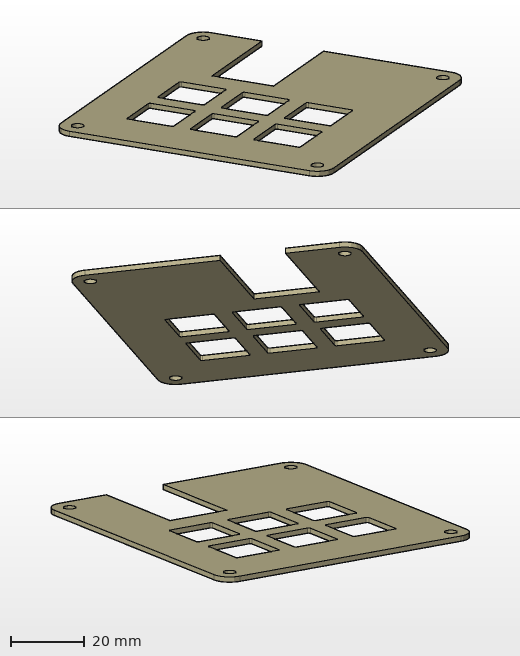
import cadquery as cq

plate_width = 82.09
plate_depth = 87.72
plate_thickness = 1.5
corner_radius = 5.0

screw_hole_diameter = 3.4
screw_inset = corner_radius

key_columns = 3
key_rows = 2
key_pitch = 19.05
key_window_size = 14.0
key_window_corner_radius = 0.5
key_grid_center_x = -0.5
key_grid_center_y = -11.6

notch_width = 18.5
notch_depth = 31.0
notch_left_inset = 20.3


def make_plate():
    """Flat plate with rounded corners, centred in X and Y and resting on Z = 0."""
    plate = cq.Workplane("XY").box(
        plate_width, plate_depth, plate_thickness, centered=(True, True, False)
    )
    return plate.edges("|Z").fillet(corner_radius)


def make_screw_holes():
    """Cutters for one through hole in each plate corner."""
    return (
        cq.Workplane("XY")
        .rect(plate_width - 2 * screw_inset, plate_depth - 2 * screw_inset, forConstruction=True)
        .vertices()
        .circle(screw_hole_diameter / 2)
        .extrude(plate_thickness)
    )


def make_key_windows():
    """Cutters for the regular grid of key windows with slightly rounded corners."""
    return (
        cq.Workplane("XY")
        .center(key_grid_center_x, key_grid_center_y)
        .rarray(key_pitch, key_pitch, key_columns, key_rows)
        .rect(key_window_size, key_window_size)
        .extrude(plate_thickness)
        .edges("|Z")
        .fillet(key_window_corner_radius)
    )


def make_notch():
    """Cutter for the sharp-cornered notch in the +Y edge."""
    notch_left = -plate_width / 2 + notch_left_inset
    notch_bottom = plate_depth / 2 - notch_depth
    return (
        cq.Workplane("XY")
        .box(notch_width, notch_depth, plate_thickness, centered=False)
        .translate((notch_left, notch_bottom, 0))
    )


result = make_plate().cut(make_screw_holes()).cut(make_key_windows()).cut(make_notch())